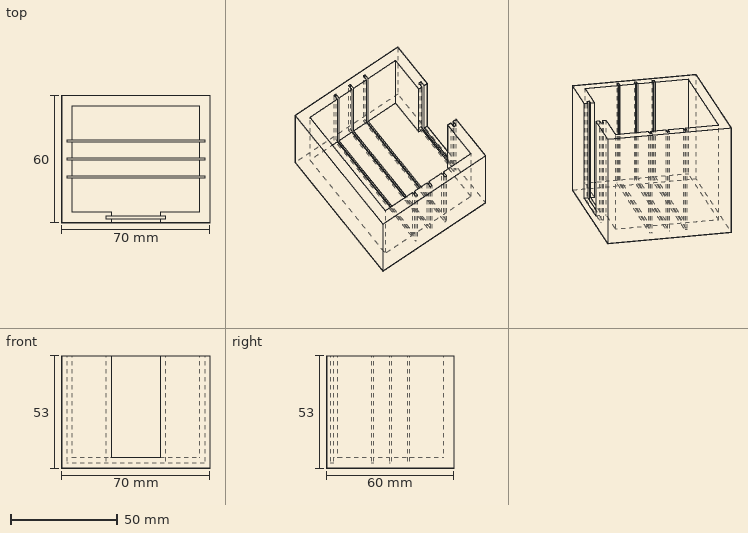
import cadquery as cq

length = 70.0
width = 60.0
height = 53.0
wall = 5.0

opening_width = 23.0

groove_depth = wall / 2

divider_groove_width = 1.0
divider_spacing = 8.5
divider_count = 3

door_groove_width = 1.3

inner_length = length - 2 * wall
inner_width = width - 2 * wall
front_face = -width / 2


def block_to_rim(size_x, y_centre, size_y, z_min):
    """Block centred on X and on y_centre that reaches from z_min up to the rim."""
    return (
        cq.Workplane("XY")
        .box(size_x, size_y, height - z_min, centered=(True, True, False))
        .translate((0, y_centre, z_min))
    )


def make_open_box():
    """Box with an open top and an opening in its front wall."""
    body = block_to_rim(length, 0, width, 0)
    cavity = block_to_rim(inner_length, 0, inner_width, wall)
    opening = block_to_rim(opening_width, front_face + wall / 2, wall, wall)
    return body.cut(cavity).cut(opening)


def cut_groove(body, clear_span, y_centre, groove_width):
    """Cut one panel groove into the floor and into the walls on both sides of a span."""
    groove_span = clear_span + 2 * groove_depth
    groove = block_to_rim(groove_span, y_centre, groove_width, wall - groove_depth)
    return body.cut(groove)


def cut_divider_grooves(body):
    """Cut the row of divider grooves, centred along Y."""
    first_centre = -divider_spacing * (divider_count - 1) / 2
    for index in range(divider_count):
        y_centre = first_centre + index * divider_spacing
        body = cut_groove(body, inner_length, y_centre, divider_groove_width)
    return body


def cut_door_groove(body):
    """Cut the door groove beside and below the front opening."""
    return cut_groove(body, opening_width, front_face + wall / 2, door_groove_width)


result = make_open_box()
result = cut_divider_grooves(result)
result = cut_door_groove(result)